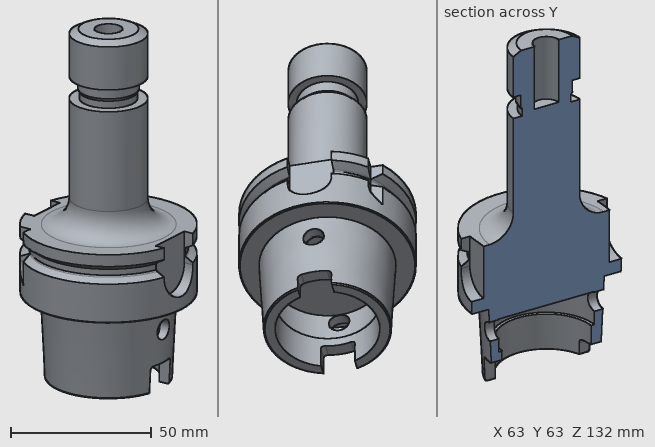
import cadquery as cq
import math


top_z = 100.0
taper_length = 32.0

nut_radius = 14.0
nut_bottom_z = 82.0
nut_chamfer_height = 1.7
nut_chamfer_width = 3.3
neck_radius = 11.0
neck_bottom_z = 77.5
relief_radius = 10.35
relief_top_z = 76.4
collet_bore_radius = 5.0
collet_bore_depth = 25.0

shank_radius = 14.0
shank_top_z = 73.7
blend_radius = 10.0

flange_radius = 31.5
flange_top_z = 26.0
flange_edge_chamfer = 0.4
groove_radius = 28.3
groove_mid_z = 18.2
groove_floor_width = 3.0
groove_mouth_width = 6.7
groove_fillet = 0.6

taper_radius = 24.35
taper_per_length = 0.1
taper_end_radius = taper_radius - taper_length * taper_per_length / 2
taper_end_chamfer = 0.5

socket_mouth_radius = 18.6
socket_chamber_radius = 20.0
socket_step_z = -18.0
socket_top_z = -5.0

slot_floor_x = 26.5
slot_bottom_z = 5.2
left_slot_width = 16.0
right_slot_width = 18.0
corner_notch_offset = 20.0

drive_slot_width = 12.3
drive_slot_fillet = 1.5
left_drive_slot_depth = 6.2
right_drive_slot_depth = 10.3

cross_hole_diameter = 7.5
cross_hole_z = -9.0


def make_body():
    """Revolve the half profile of the whole holder about Z."""
    groove_floor_top = groove_mid_z + groove_floor_width / 2
    groove_floor_bottom = groove_mid_z - groove_floor_width / 2
    groove_mouth_top = groove_mid_z + groove_mouth_width / 2
    groove_mouth_bottom = groove_mid_z - groove_mouth_width / 2
    blend_outer_radius = shank_radius + blend_radius
    blend_top_z = flange_top_z + blend_radius
    arc_offset = blend_radius * math.sin(math.radians(45))
    blend_middle = (blend_outer_radius - arc_offset, blend_top_z - arc_offset)
    profile = (
        cq.Workplane("XZ")
        .moveTo(0, -taper_length)
        .lineTo(taper_end_radius - taper_end_chamfer, -taper_length)
        .lineTo(taper_end_radius, -taper_length + taper_end_chamfer)
        .lineTo(taper_radius, 0)
        .lineTo(flange_radius - flange_edge_chamfer, 0)
        .lineTo(flange_radius, flange_edge_chamfer)
        .lineTo(flange_radius, groove_mouth_bottom)
        .lineTo(groove_radius, groove_floor_bottom)
        .lineTo(groove_radius, groove_floor_top)
        .lineTo(flange_radius, groove_mouth_top)
        .lineTo(flange_radius, flange_top_z)
        .lineTo(blend_outer_radius, flange_top_z)
        .threePointArc(blend_middle, (shank_radius, blend_top_z))
        .lineTo(shank_radius, shank_top_z)
        .lineTo(relief_radius, shank_top_z)
        .lineTo(relief_radius, relief_top_z)
        .lineTo(neck_radius, neck_bottom_z)
        .lineTo(neck_radius, nut_bottom_z)
        .lineTo(nut_radius, nut_bottom_z)
        .lineTo(nut_radius, top_z - nut_chamfer_height)
        .lineTo(nut_radius - nut_chamfer_width, top_z)
        .lineTo(0, top_z)
        .close()
    )
    body = profile.revolve(360, (0, 0), (0, 1))
    groove_corners = cq.selectors.BoxSelector(
        (-flange_radius, -flange_radius, groove_mouth_bottom),
        (flange_radius, flange_radius, groove_mouth_top),
        boundingbox=True,
    )
    return body.edges(groove_corners).edges(cq.selectors.RadiusNthSelector(0)).fillet(groove_fillet)


def make_bore(radius, bottom_z, top_of_bore_z):
    """Cylinder on the Z axis between two heights."""
    length = top_of_bore_z - bottom_z
    return cq.Workplane("XY").workplane(offset=bottom_z).circle(radius).extrude(length)


def make_rim_slot(width, center_y, floor_x, side):
    """Slot open at the flange top and rim, with a half-round lower end, on the -X or +X side."""
    round_radius = width / 2
    round_z = slot_bottom_z + round_radius
    reach = side * (flange_radius - floor_x)
    plane = cq.Workplane("YZ", origin=(side * floor_x, center_y, 0))
    return (
        plane.moveTo(-round_radius, flange_top_z)
        .lineTo(-round_radius, round_z)
        .threePointArc((0, slot_bottom_z), (round_radius, round_z))
        .lineTo(round_radius, flange_top_z)
        .close()
        .extrude(reach)
    )


def make_drive_slot(depth, side):
    """Slot across the taper end, from the axis outward, with rounded inner corners."""
    block = cq.Workplane("XY").box(
        taper_radius, drive_slot_width, depth, centered=(False, True, False)
    )
    block = block.edges("|X and >Z").fillet(drive_slot_fillet)
    if side < 0:
        block = block.rotate((0, 0, 0), (0, 0, 1), 180)
    return block.translate((0, 0, -taper_length))


def make_cross_hole():
    """Radial hole through both sides of the taper."""
    return (
        cq.Workplane("YZ", origin=(0, 0, cross_hole_z))
        .circle(cross_hole_diameter / 2)
        .extrude(taper_radius, both=True)
    )


result = make_body()
result = result.cut(make_bore(collet_bore_radius, top_z - collet_bore_depth, top_z))
result = result.cut(make_bore(socket_mouth_radius, -taper_length, socket_step_z))
result = result.cut(make_bore(socket_chamber_radius, socket_step_z, socket_top_z))

result = result.cut(make_rim_slot(left_slot_width, 0, slot_floor_x, -1))
result = result.cut(make_rim_slot(right_slot_width, 0, slot_floor_x, 1))
notch_center_y = -corner_notch_offset - left_slot_width / 2
result = result.cut(make_rim_slot(left_slot_width, notch_center_y, corner_notch_offset, -1))

result = result.cut(make_drive_slot(left_drive_slot_depth, -1))
result = result.cut(make_drive_slot(right_drive_slot_depth, 1))
result = result.cut(make_cross_hole())